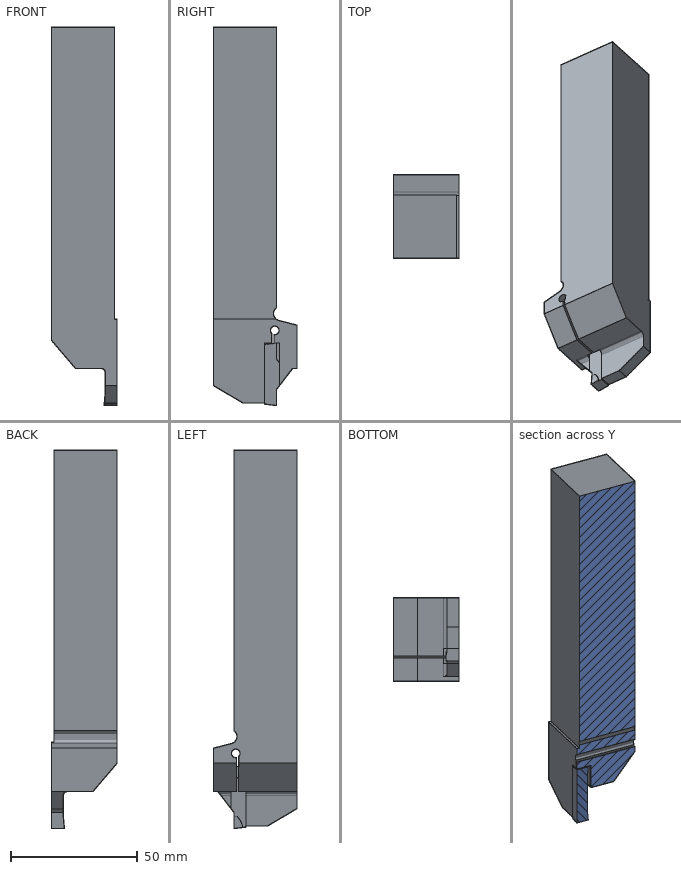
import cadquery as cq

total_length = 150.0
shank_size = 25.0
head_right = 26.1
head_depth = 33.2

head_top = 34.4
shoulder_height = 14.7
bevel_top = 26.0
bevel_width = 9.6
blade_thickness = 4.8
blade_left = head_right - blade_thickness
blade_bottom = 1.0
root_radius = 1.5

neck_top = 38.8
neck_floor_y = 23.8
neck_floor_z = 36.6
neck_end_y = 26.2
neck_end_z = 33.8
clamp_edge_z = 32.0
blade_slope_start = 31.4
blade_heel_y = 11.7
blade_heel_z = 8.0

relief_y = 24.3
relief_z = 29.8
relief_radius = 1.6
slot_y = 23.5
slot_width = 0.8

insert_length = 24.9
insert_bottom_y = 20.2
insert_top_y = 26.1
tip_y = shank_size
tip_clearance = 0.6
tip_length = 6.5
ramp_end = 7.8
cutter_length = 4.8
cutter_base_y = 21.6
cutter_overhang = 0.5
cutter_shoulder_y = 23.7
cutter_arc_y = 22.5
cutter_arc_z = 3.3

pocket_left = blade_left - root_radius


def make_holder():
    front_shape = (
        cq.Workplane("XZ")
        .moveTo(0, total_length)
        .lineTo(shank_size, total_length)
        .lineTo(shank_size, head_top)
        .lineTo(head_right, head_top)
        .lineTo(head_right, blade_bottom)
        .lineTo(blade_left, blade_bottom)
        .lineTo(blade_left, shoulder_height - root_radius)
        .radiusArc((blade_left - root_radius, shoulder_height), -root_radius)
        .lineTo(bevel_width, shoulder_height)
        .lineTo(0, bevel_top)
        .close()
        .extrude(-head_depth)
    )
    side_shape = (
        cq.Workplane("YZ")
        .moveTo(0, total_length)
        .lineTo(shank_size, total_length)
        .lineTo(shank_size, neck_top)
        .threePointArc((neck_floor_y, neck_floor_z), (neck_end_y, neck_end_z))
        .lineTo(head_depth, clamp_edge_z)
        .lineTo(head_depth, shoulder_height)
        .lineTo(blade_slope_start, shoulder_height)
        .lineTo(insert_top_y, ramp_end)
        .lineTo(insert_bottom_y, blade_bottom)
        .lineTo(blade_heel_y, blade_bottom)
        .lineTo(0, blade_heel_z)
        .close()
        .extrude(head_right)
    )
    pocket = cq.Workplane("XY").box(
        head_right - pocket_left, insert_top_y - insert_bottom_y, insert_length, centered=False
    ).translate((pocket_left, insert_bottom_y, 0))
    relief_hole = (
        cq.Workplane("YZ").center(relief_y, relief_z).circle(relief_radius).extrude(head_right)
    )
    slot = cq.Workplane("XY").box(
        head_right, slot_width, relief_z - shoulder_height, centered=False
    ).translate((0, slot_y - slot_width / 2, shoulder_height))
    return front_shape.intersect(side_shape).cut(pocket).cut(relief_hole).cut(slot)


def make_cutter():
    """Cutting end at the lower tip of the insert, flaring out sideways toward the tip."""
    base_z = tip_clearance * (tip_y - cutter_base_y) / (tip_y - insert_bottom_y)
    side_shape = (
        cq.Workplane("YZ", origin=(blade_left - cutter_overhang, 0, 0))
        .moveTo(tip_y, 0)
        .lineTo(tip_y, cutter_length)
        .lineTo(cutter_shoulder_y, cutter_length)
        .threePointArc((cutter_arc_y, cutter_arc_z), (cutter_base_y, base_z))
        .close()
        .extrude(cutter_overhang)
    )
    flare = (
        cq.Workplane("XZ")
        .moveTo(blade_left, 0)
        .lineTo(blade_left - cutter_overhang, 0)
        .lineTo(blade_left, cutter_length)
        .close()
        .extrude(-head_depth)
    )
    return side_shape.intersect(flare)


def make_insert():
    body = (
        cq.Workplane("YZ", origin=(blade_left, 0, 0))
        .moveTo(insert_bottom_y, tip_clearance)
        .lineTo(tip_y, 0)
        .lineTo(tip_y, tip_length)
        .lineTo(insert_top_y, ramp_end)
        .lineTo(insert_top_y, insert_length - ramp_end)
        .lineTo(tip_y, insert_length - tip_length)
        .lineTo(tip_y, insert_length)
        .lineTo(insert_bottom_y, insert_length - tip_clearance)
        .close()
        .extrude(blade_thickness)
    )
    lower_cutter = make_cutter()
    upper_cutter = lower_cutter.mirror("XY", (0, 0, insert_length / 2))
    return body.union(lower_cutter).union(upper_cutter)


holder = make_holder()
insert = make_insert()

result = cq.Compound.makeCompound([holder.solids().val(), insert.solids().val()])